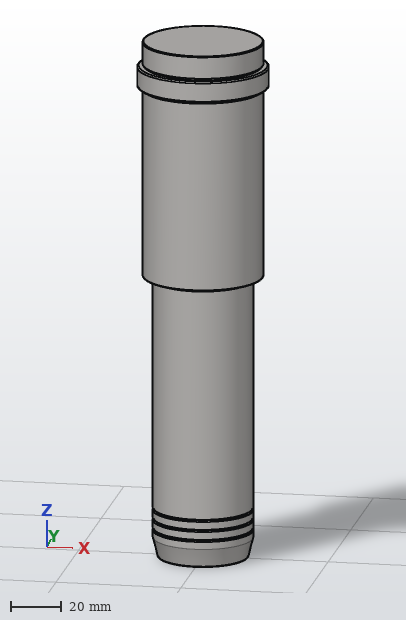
import cadquery as cq

total_length = 210.0
head_radius = 24.0
collar_radius = 26.0
shaft_radius = 20.0

head_chamfer = 0.5
collar_chamfer = 0.6
tip_chamfer = 0.5

collar_top_z = 200.1
collar_height = 8.6
collar_undercut_width = 0.8
collar_undercut_depth = 0.6

step_z = 114.2
relief_depth = 0.6
relief_height = 1.3

tip_radius = 18.0
nose_height = 8.0
nose_hollow = 0.08

groove_count = 3
first_groove_z = 11.3
last_groove_z = 19.5
groove_width = 1.0
groove_depth = 0.5

neck_radius = head_radius - collar_undercut_depth
collar_bottom_z = collar_top_z - collar_height
groove_pitch = (last_groove_z - first_groove_z) / (groove_count - 1)


def disc(radius, bottom_z, height):
    return cq.Workplane("XY").workplane(offset=bottom_z).circle(radius).extrude(height)


def revolve_profile(profile):
    """Turn a closed radius/height profile around the Z axis."""
    return profile.close().revolve(360, (0, 0, 0), (0, 1, 0))


def make_shaft():
    """Shaft with a lead-in at the lower end and a cylindrical relief below the head."""
    nose_mid_radius = (tip_radius + shaft_radius) / 2 - nose_hollow
    nose_mid_z = (tip_chamfer + nose_height) / 2
    relief_z = step_z - relief_height
    relief_radius = shaft_radius - relief_depth
    return revolve_profile(
        cq.Workplane("XZ")
        .lineTo(tip_radius - tip_chamfer, 0)
        .lineTo(tip_radius, tip_chamfer)
        .threePointArc((nose_mid_radius, nose_mid_z), (shaft_radius, nose_height))
        .lineTo(shaft_radius, relief_z)
        .lineTo(relief_radius, relief_z)
        .lineTo(relief_radius, step_z)
        .lineTo(0, step_z)
    )


def make_head():
    head = disc(head_radius, step_z, total_length - step_z)
    return head.faces("<Z or >Z").edges().chamfer(head_chamfer)


def make_collar():
    collar = disc(collar_radius, collar_bottom_z, collar_height)
    return collar.faces("<Z or >Z").edges().chamfer(collar_chamfer)


def make_collar_undercut(collar_face_z, direction):
    """Triangular ring beside a collar face; direction is +1 above it and -1 below it."""
    return revolve_profile(
        cq.Workplane("XZ")
        .moveTo(neck_radius, collar_face_z)
        .lineTo(head_radius, collar_face_z)
        .lineTo(head_radius, collar_face_z + direction * collar_undercut_width)
    )


def make_groove(center_z):
    """Ring of V-shaped section cut into the shaft surface."""
    return revolve_profile(
        cq.Workplane("XZ")
        .moveTo(shaft_radius, center_z - groove_width / 2)
        .lineTo(shaft_radius - groove_depth, center_z)
        .lineTo(shaft_radius, center_z + groove_width / 2)
    )


result = make_shaft().union(make_head()).union(make_collar())
result = result.cut(make_collar_undercut(collar_top_z, 1))
result = result.cut(make_collar_undercut(collar_bottom_z, -1))

for index in range(groove_count):
    result = result.cut(make_groove(first_groove_z + index * groove_pitch))